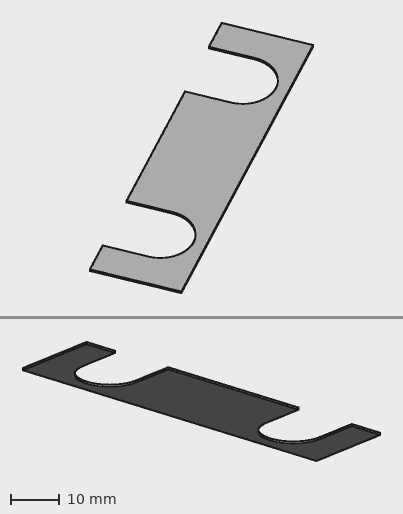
import cadquery as cq

width = 20.0
length = 80.0
thickness = 0.5

slot_width = 14.5
slot_spacing = 50.0
slot_radius = slot_width / 2
slot_end_x = 0.0


def slot_cutter(center_y):
    """Slot with a semicircular end, open at the -X edge of the plate."""
    return (
        cq.Workplane("XY")
        .moveTo(-width / 2, center_y - slot_radius)
        .lineTo(slot_end_x, center_y - slot_radius)
        .threePointArc(
            (slot_end_x + slot_radius, center_y),
            (slot_end_x, center_y + slot_radius),
        )
        .lineTo(-width / 2, center_y + slot_radius)
        .close()
        .extrude(thickness)
    )


result = cq.Workplane("XY").box(width, length, thickness, centered=(True, True, False))
for side in (-1, 1):
    result = result.cut(slot_cutter(side * slot_spacing / 2))